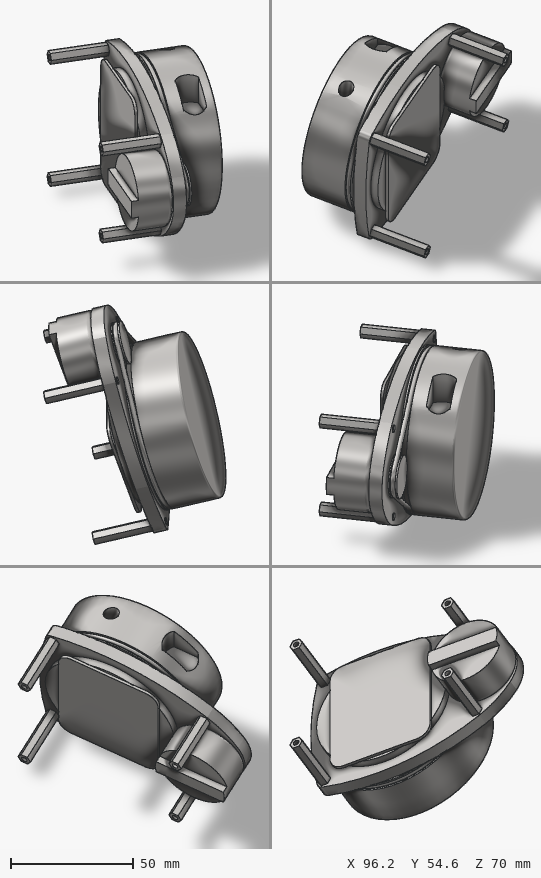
import cadquery as cq
import math


plate_thickness = 5.6
plate_left = -34.4
plate_corner = (-31.0, 30.9)
plate_corner_radius = 3.6
plate_crest = (-3.4, 34.9)
plate_shoulder = (43.6, 23.2)
plate_nose = (57.95, 10.4)
plate_tip = 61.1

disc_radius = 30.0
disc_height = 3.3
pad_width = 46.1
pad_height = 57.1
pad_thickness = 1.25
pad_corner_radius = 6.0

axle_spacing = 45.1
knob_radius = 16.05
knob_length = 14.9
knob_fillet = 1.7
grip_width = 7.7
grip_height = 3.1

standoff_length = 25.0
standoff_flats = 5.0
standoff_bore = 2.5
stud_diameter = 3.0
stud_protrusion = 0.4
left_standoff = (-28.1, 28.1)
right_standoff = (42.0, 20.0)

drum_radius = 35.0
drum_front = 0.6
drum_back = 24.0
drum_fillet = 1.0
pulley_radius = 9.0
pulley_front = 0.9
pulley_back = 4.5
hub_radius = 2.1
hub_front = 0.5
belt_diameter = 2.1
belt_y = 2.6
groove_rim_width = 2.4
groove_floor_width = 1.9
groove_depth = belt_diameter / 2

opening_y = 15.0
hole_diameter = 6.1
hole_x = -12.0
hole_tilt = 12.0
hole_depth = 23.1
pocket_x = 20.0
pocket_diameter = 15.0
pocket_width = 10.0
pocket_floor = 20.0

ample = 192.2

plate_front = -plate_thickness
disc_front = plate_front - disc_height
standoff_places = [(x, side * z) for x, z in (left_standoff, right_standoff) for side in (1, -1)]


def facing_front(y):
    """Workplane at the given y, with local x along X, local y along Z and extrusion toward -Y."""
    return cq.Workplane("XZ", origin=(0, y, 0))


def mirrored(point):
    return (point[0], -point[1])


def arc_bulge(start, end, start_angle):
    """Middle point of the arc that leaves start at start_angle (radians) and reaches end."""
    run, rise = end[0] - start[0], end[1] - start[1]
    chord = math.hypot(run, rise)
    turn = math.atan2(rise, run) - start_angle
    sagitta = chord / 2 * math.tan(turn / 2)
    return (
        (start[0] + end[0]) / 2 + sagitta * rise / chord,
        (start[1] + end[1]) / 2 - sagitta * run / chord,
    )


def end_angle(start, end, start_angle):
    """Direction (radians) at the end of the arc that leaves start at start_angle."""
    return 2 * math.atan2(end[1] - start[1], end[0] - start[0]) - start_angle


def make_plate():
    """Plate with a symmetric outline of arcs, tangent to each other from the crest to the nose."""
    shoulder_angle = end_angle(plate_crest, plate_shoulder, 0)
    over_front = arc_bulge(plate_crest, plate_shoulder, 0)
    over_shoulder = arc_bulge(plate_shoulder, plate_nose, shoulder_angle)
    over_back = arc_bulge(plate_crest, plate_corner, math.pi)
    plate = (
        facing_front(0)
        .moveTo(*plate_corner)
        .threePointArc(over_back, plate_crest)
        .threePointArc(over_front, plate_shoulder)
        .threePointArc(over_shoulder, plate_nose)
        .threePointArc((plate_tip, 0), mirrored(plate_nose))
        .threePointArc(mirrored(over_shoulder), mirrored(plate_shoulder))
        .threePointArc(mirrored(over_front), mirrored(plate_crest))
        .threePointArc(mirrored(over_back), mirrored(plate_corner))
        .threePointArc((plate_left, 0), plate_corner)
        .close()
        .extrude(plate_thickness)
    )
    corner_edges = cq.selectors.BoxSelector(
        (plate_left, plate_front, -drum_radius), (plate_crest[0] - plate_corner_radius, 0, drum_radius)
    )
    return plate.edges("|Y").edges(corner_edges).fillet(plate_corner_radius)


def make_disc_and_pad():
    disc = facing_front(plate_front).circle(disc_radius).extrude(disc_height)
    pad = (
        facing_front(disc_front)
        .rect(pad_width, pad_height)
        .extrude(pad_thickness)
        .edges("|Y")
        .fillet(pad_corner_radius)
    )
    return disc.union(pad)


def make_knob():
    """Round knob with a filleted plate end and a grip bar across its front."""
    knob = (
        facing_front(plate_front)
        .center(axle_spacing, 0)
        .circle(knob_radius)
        .extrude(knob_length)
        .edges(">Y")
        .fillet(knob_fillet)
    )
    grip_round = (
        facing_front(plate_front - knob_length)
        .center(axle_spacing, 0)
        .circle(knob_radius)
        .extrude(grip_height)
    )
    grip_bar = cq.Workplane("XY").box(ample, ample, grip_width)
    return knob.union(grip_round.intersect(grip_bar))


def make_standoffs():
    corner_diameter = standoff_flats / math.cos(math.pi / 6)
    pillars = (
        facing_front(plate_front)
        .pushPoints(standoff_places)
        .polygon(6, corner_diameter)
        .circle(standoff_bore / 2)
        .extrude(standoff_length)
    )
    studs = (
        facing_front(stud_protrusion)
        .pushPoints(standoff_places)
        .circle(stud_diameter / 2)
        .extrude(stud_protrusion)
    )
    return pillars, studs


def make_base():
    """Plate with its disc, pad, knob and four standoffs."""
    base = make_plate().union(make_disc_and_pad()).union(make_knob())
    for standoff_part in make_standoffs():
        base = base.union(standoff_part)
    return base


def grooved_wheel(front, back, radius):
    """Solid wheel around the Y axis with a tapered belt groove in its rim."""
    floor_radius = radius - groove_depth
    return (
        cq.Workplane("YZ")
        .moveTo(front, 0)
        .lineTo(front, radius)
        .lineTo(belt_y - groove_rim_width / 2, radius)
        .lineTo(belt_y - groove_floor_width / 2, floor_radius)
        .lineTo(belt_y + groove_floor_width / 2, floor_radius)
        .lineTo(belt_y + groove_rim_width / 2, radius)
        .lineTo(back, radius)
        .lineTo(back, 0)
        .close()
        .revolve(360, (0, 0), (1, 0))
    )


def make_hole_cutter():
    """Blind round hole entering the rim at hole_x, its axis leaning from Z toward +X."""
    tilt = math.radians(hole_tilt)
    outward = cq.Vector(math.sin(tilt), 0, math.cos(tilt))
    mouth = cq.Vector(hole_x, opening_y, math.sqrt(drum_radius**2 - hole_x**2))
    start = mouth + outward * hole_diameter
    return cq.Workplane(
        cq.Solid.makeCylinder(hole_diameter / 2, hole_depth + hole_diameter, start, outward * -1)
    )


def make_pocket_cutter():
    """Round pocket with two flat sides and a flat floor, cut straight down from the top of the rim."""
    pocket_depth = drum_radius - pocket_floor
    round_part = (
        cq.Workplane("XY", origin=(pocket_x, opening_y, pocket_floor))
        .circle(pocket_diameter / 2)
        .extrude(pocket_depth)
    )
    band = cq.Workplane("XY", origin=(0, opening_y, 0)).box(ample, pocket_width, ample)
    return round_part.intersect(band)


def make_drum():
    drum = grooved_wheel(drum_front, drum_back, drum_radius).edges(">Y").fillet(drum_fillet)
    return drum.cut(make_hole_cutter()).cut(make_pocket_cutter())


def make_pulley():
    pulley = grooved_wheel(pulley_front, pulley_back, pulley_radius)
    hub = facing_front(pulley_front).circle(hub_radius).extrude(pulley_front - hub_front)
    return pulley.union(hub).translate((axle_spacing, 0, 0))


def make_belt():
    """Round belt with two straight runs tangent to both wheels."""
    drum_wrap = drum_radius - belt_diameter / 2
    pulley_wrap = pulley_radius - belt_diameter / 2
    lean = math.asin((drum_wrap - pulley_wrap) / axle_spacing)
    drum_exit = (drum_wrap * math.sin(lean), drum_wrap * math.cos(lean))
    pulley_entry = (axle_spacing + pulley_wrap * math.sin(lean), pulley_wrap * math.cos(lean))
    path = (
        facing_front(belt_y)
        .moveTo(*drum_exit)
        .lineTo(*pulley_entry)
        .threePointArc((axle_spacing + pulley_wrap, 0), mirrored(pulley_entry))
        .lineTo(*mirrored(drum_exit))
        .threePointArc((-drum_wrap, 0), drum_exit)
        .close()
    )
    run = cq.Vector(pulley_entry[0] - drum_exit[0], 0, pulley_entry[1] - drum_exit[1])
    section = cq.Plane(
        origin=(drum_exit[0], belt_y, drum_exit[1]), xDir=(0, 1, 0), normal=run.toTuple()
    )
    return cq.Workplane(section).circle(belt_diameter / 2).sweep(path)


def make_drive():
    """Drum and pulley joined by their belt."""
    return make_drum().union(make_pulley()).union(make_belt())


base = make_base()
drive = make_drive()
result = cq.Compound.makeCompound([base.val(), drive.val()])